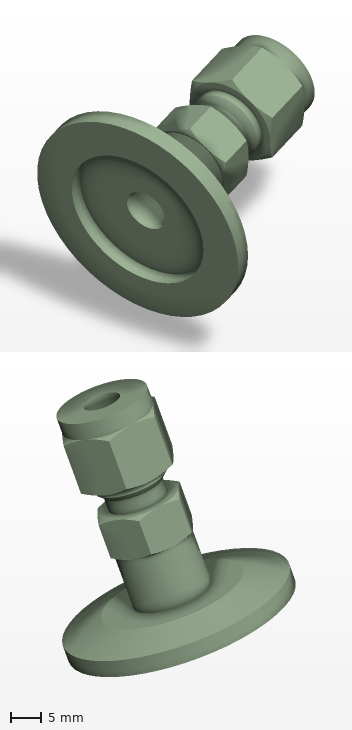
import cadquery as cq
import math

total_length = 41.2
rim_length = 3.0
flange_cone_length = 2.0
stub_length = 10.15
body_hex_length = 7.5
neck_length = 2.6
neck_cone_length = 1.15
nut_hex_length = 10.45
nut_end_length = 3.0
recess_depth = 2.5

flange_diameter = 40.0
recess_diameter = 26.2
stub_diameter = 13.7
front_bore_diameter = 7.62
through_bore_diameter = 6.4
neck_diameter = 10.4
collar_diameter = 12.7
nut_flats = 16.0
body_hex_flats = 14.2

flange_cone_angle = 15.0
hex_chamfer_angle = 30.0

flange_back = rim_length + flange_cone_length
body_hex_start = flange_back + stub_length
neck_start = body_hex_start + body_hex_length
neck_end = neck_start + neck_length
collar_start = neck_end + neck_cone_length
nut_end_start = total_length - nut_end_length
nut_start = nut_end_start - nut_hex_length


def cylinder(diameter, start, end):
    """Cylinder on the Y axis between two Y positions."""
    plane = cq.Workplane("XZ", origin=(0, start, 0))
    return plane.circle(diameter / 2).extrude(start - end)


def revolve_profile(points):
    """Revolve a closed (radius, y) profile about the Y axis."""
    return cq.Workplane("XY").polyline(points).close().revolve(360, (0, 0, 0), (0, 1, 0))


def chamfered_hex(flats, start, end):
    """Hex on the Y axis with flats facing +X and -X and conically chamfered corners."""
    flat_radius = flats / 2
    corner_radius = flat_radius / math.cos(math.radians(30))
    chamfer_length = (corner_radius - flat_radius) * math.tan(math.radians(hex_chamfer_angle))
    plane = cq.Workplane("XZ", origin=(0, start, 0)).transformed(rotate=(0, 0, 90))
    prism = plane.polygon(6, 2 * corner_radius).extrude(start - end)
    envelope = revolve_profile([
        (0, start),
        (flat_radius, start),
        (corner_radius, start + chamfer_length),
        (corner_radius, end - chamfer_length),
        (flat_radius, end),
        (0, end),
    ])
    return prism.intersect(envelope)


def make_flange():
    """Clamp flange with a tapered back, a front recess and a bore for the stub."""
    rim_radius = flange_diameter / 2
    taper_width = flange_cone_length / math.tan(math.radians(flange_cone_angle))
    disc = revolve_profile([
        (0, 0),
        (rim_radius, 0),
        (rim_radius, rim_length),
        (rim_radius - taper_width, flange_back),
        (0, flange_back),
    ])
    recess = cylinder(recess_diameter, 0, recess_depth)
    stub_bore = cylinder(stub_diameter, 0, flange_back)
    return disc.cut(recess).cut(stub_bore)


def make_fitting():
    """Tube fitting: stub, body hex, neck, collar and nut on a stepped bore."""
    stub = cylinder(stub_diameter, recess_depth, body_hex_start)
    body_hex = chamfered_hex(body_hex_flats, body_hex_start, neck_start)
    neck_and_collar = revolve_profile([
        (0, neck_start),
        (neck_diameter / 2, neck_start),
        (neck_diameter / 2, neck_end),
        (collar_diameter / 2, collar_start),
        (collar_diameter / 2, nut_start),
        (0, nut_start),
    ])
    nut_hex = chamfered_hex(nut_flats, nut_start, nut_end_start)
    nut_end = cylinder(nut_flats, nut_end_start, total_length)
    solid = stub.union(body_hex).union(neck_and_collar).union(nut_hex).union(nut_end)

    front_bore = cylinder(front_bore_diameter, recess_depth, body_hex_start)
    through_bore = cylinder(through_bore_diameter, recess_depth, total_length)
    return solid.cut(front_bore).cut(through_bore)


flange = make_flange()
fitting = make_fitting()

result = cq.Compound.makeCompound([flange.solids().val(), fitting.solids().val()])